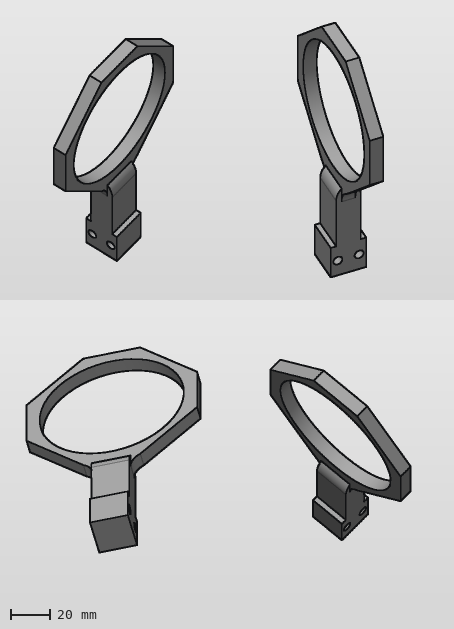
import cadquery as cq
import math

total_height = 148
ring_span = 90.0
ring_thickness = 7.7
bore_diameter = 76.0
block_size = 20.0
stem_thickness = 13.9
blend_radius = 10.0
hole_diameter = 5.0
hole_spacing = 12.0

ring_center_z = total_height - ring_span / 2
ring_bottom_z = total_height - ring_span
half_span = ring_span / 2
half_flat = ring_span / 6
half_block = block_size / 2


def arc_rise(run):
    """Height over which an arc that starts vertical moves sideways by run."""
    return math.sqrt(blend_radius**2 - (blend_radius - run) ** 2)


def arc_middle(run):
    """Sideways and upward offsets to the middle of that arc."""
    half_angle = math.acos(1 - run / blend_radius) / 2
    return blend_radius * (1 - math.cos(half_angle)), blend_radius * math.sin(half_angle)


def make_ring():
    """Octagonal plate whose lower edge is carried down to the stem by concave webs."""
    web_run = half_flat - half_block
    web_start_z = ring_bottom_z - arc_rise(web_run)
    side, up = arc_middle(web_run)
    plate = (
        cq.Workplane("YZ", origin=(-ring_thickness / 2, 0, 0))
        .moveTo(half_block, web_start_z)
        .threePointArc((half_block + side, web_start_z + up), (half_flat, ring_bottom_z))
        .lineTo(half_span, ring_center_z - half_flat)
        .lineTo(half_span, ring_center_z + half_flat)
        .lineTo(half_flat, total_height)
        .lineTo(-half_flat, total_height)
        .lineTo(-half_span, ring_center_z + half_flat)
        .lineTo(-half_span, ring_center_z - half_flat)
        .lineTo(-half_flat, ring_bottom_z)
        .threePointArc((-half_block - side, web_start_z + up), (-half_block, web_start_z))
        .close()
        .extrude(ring_thickness)
    )
    bore = (
        cq.Workplane("YZ", origin=(-ring_thickness / 2, 0, 0))
        .center(0, ring_center_z)
        .circle(bore_diameter / 2)
        .extrude(ring_thickness)
    )
    return plate.cut(bore)


def make_stem():
    """Upright with rounded shoulders that run in to the faces of the ring."""
    half_stem = stem_thickness / 2
    half_ring = ring_thickness / 2
    shoulder_run = half_stem - half_ring
    shoulder_z = ring_bottom_z - arc_rise(shoulder_run)
    side, up = arc_middle(shoulder_run)
    return (
        cq.Workplane("XZ", origin=(0, half_block, 0))
        .moveTo(-half_stem, 0)
        .lineTo(half_stem, 0)
        .lineTo(half_stem, shoulder_z)
        .threePointArc((half_stem - side, shoulder_z + up), (half_ring, ring_bottom_z))
        .lineTo(-half_ring, ring_bottom_z)
        .threePointArc((side - half_stem, shoulder_z + up), (-half_stem, shoulder_z))
        .close()
        .extrude(block_size)
    )


def make_block():
    """Cube at the foot of the stem."""
    return cq.Workplane("XY").box(block_size, block_size, block_size, centered=(True, True, False))


def make_bolt_holes():
    """Pair of holes running through the block along Y."""
    return (
        cq.Workplane("XZ", origin=(0, half_block, 0))
        .pushPoints([(side * hole_spacing / 2, half_block) for side in (-1, 1)])
        .circle(hole_diameter / 2)
        .extrude(block_size)
    )


result = make_ring().union(make_stem()).union(make_block()).cut(make_bolt_holes())